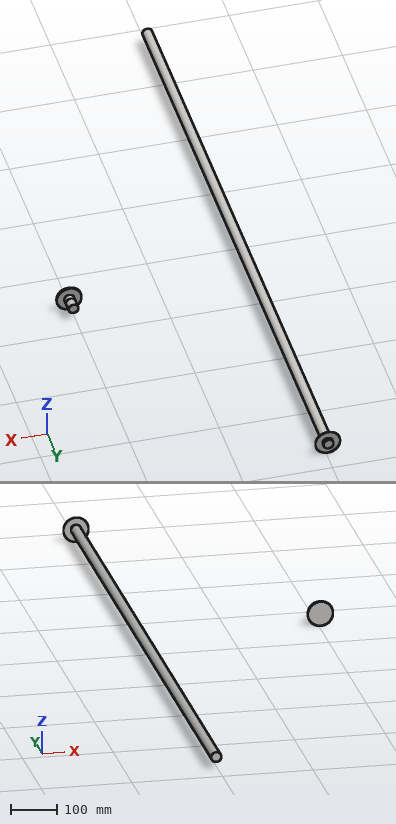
import cadquery as cq

rod_length = 1505.0
shaft_diameter = 23.0
flange_diameter = 55.0
axis_spacing = 408.0
rod_flange_thickness = 2.0
rod_flange_setback = 6.0
plate_front = 860.0
plate_thickness = 5.0
stub_length = 14.0
plug_length = 23.0


def disc(x, y_start, length, diameter):
    """Round body along +Y, starting at y_start."""
    plane = cq.Plane(origin=(x, y_start, 0), xDir=(1, 0, 0), normal=(0, 1, 0))
    return cq.Workplane(plane).circle(diameter / 2).extrude(length)


rod = disc(0, 0, rod_length, shaft_diameter)
rod_flange_start = rod_length - rod_flange_setback - rod_flange_thickness
rod_flange = disc(0, rod_flange_start, rod_flange_thickness, flange_diameter).cut(rod)

plate = disc(axis_spacing, plate_front, plate_thickness, flange_diameter)
stub_start = plate_front + plate_thickness
stub = disc(axis_spacing, stub_start, stub_length, shaft_diameter)
plug = disc(axis_spacing, stub_start + stub_length, plug_length, shaft_diameter)

result = cq.Compound.makeCompound(
    [rod.val(), rod_flange.val(), stub.val(), plate.val(), plug.val()]
)